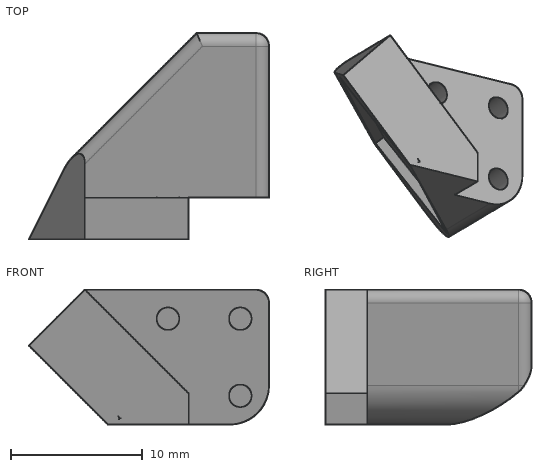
import cadquery as cq
import math

length = 18.25
depth = 15.68
height = 10.25

tip_height = 6.0
bevel_top_x = height - tip_height
edge_radius = 1.0
lower_corner_radius = 3.0

pad_thickness = 3.18
pad_right_x = 12.14
pad_corner_z = height - (pad_right_x - bevel_top_x)

hole_diameter = 1.72
hole_depth = 3.65
hole_left_x = 10.57
hole_right_x = 16.06
hole_upper_z = 8.05
hole_lower_z = 2.19
hole_centers = [
    (hole_left_x, hole_upper_z),
    (hole_right_x, hole_upper_z),
    (hole_right_x, hole_lower_z),
]

pocket_length = 14.73
pocket_width = 9.45
pocket_depth = 0.78
pocket_tilt = math.radians(2.8)
pocket_center_y = 7.55
pocket_center_z = 4.16
pocket_center_x = tip_height + pocket_center_y - pocket_center_z

slope_inward = cq.Vector(1, -1, 1).normalized()
slope_level = cq.Vector(1, 1, 0).normalized()
slope_rising = cq.Vector(-1, 1, 2).normalized()

cutter_size = 4 * length


def front_prism(points, start_y, end_y):
    """Extrude an XZ outline from start_y to end_y."""
    plane = cq.Plane(origin=(0, start_y, 0), xDir=(1, 0, 0), normal=(0, -1, 0))
    return cq.Workplane(plane).polyline(points).close().extrude(start_y - end_y)


def rounded_block():
    """Block with rounded top, back and right edges and a large lower right corner."""
    block = cq.Workplane("XY").box(2 * length, depth, height, centered=False)
    block = block.translate((-length, 0, 0))
    block = block.faces(">X").edges("<Z").fillet(lower_corner_radius)
    top_edges = block.faces(">Z").edges(">X or >Y")
    back_right_edge = block.faces(">X").edges(">Y")
    return top_edges.add(back_right_edge).fillet(edge_radius)


def sloping_wedge():
    """Oversized wedge between the sloping face and the top, with its sharp edge rounded."""
    wedge = cq.Workplane("XY").box(cutter_size, cutter_size, cutter_size)
    wedge = wedge.translate((0, 0, height - cutter_size / 2))
    slope = cq.Plane(origin=(0, 0, tip_height), xDir=slope_level, normal=-slope_inward)
    outside = cq.Workplane(slope).rect(2 * cutter_size, 2 * cutter_size).extrude(2 * cutter_size)
    wedge = wedge.cut(outside)
    sharp_edge = wedge.faces(">Z").edges(cq.selectors.ParallelDirSelector(slope_level))
    return sharp_edge.fillet(edge_radius)


def cut_upper_left_bevel(body):
    """Trim the upper left side at 45 degrees, from the tip to the top."""
    corner = [
        (bevel_top_x, height),
        (-length, height),
        (-length, tip_height - length),
    ]
    return body.cut(front_prism(corner, 0, depth))


def cut_front_step(body):
    """Set back the front face to the right of the pad."""
    step = [
        (bevel_top_x, height),
        (pad_right_x, pad_corner_z),
        (pad_right_x, 0),
        (length, 0),
        (length, height),
    ]
    return body.cut(front_prism(step, 0, pad_thickness))


def cut_holes(body):
    """Sink the round holes backward from the recessed front face."""
    plane = cq.Plane(origin=(0, pad_thickness, 0), xDir=(1, 0, 0), normal=(0, -1, 0))
    holes = cq.Workplane(plane).pushPoints(hole_centers).circle(hole_diameter / 2)
    return body.cut(holes.extrude(-hole_depth))


def cut_pocket(body):
    """Sink the slightly tilted rectangle square into the sloping face."""
    long_side = slope_level * math.cos(pocket_tilt) + slope_rising * math.sin(pocket_tilt)
    center = (pocket_center_x, pocket_center_y, pocket_center_z)
    plane = cq.Plane(origin=center, xDir=long_side, normal=slope_inward)
    pocket = cq.Workplane(plane).rect(pocket_length, pocket_width).extrude(pocket_depth)
    return body.cut(pocket)


body = rounded_block().intersect(sloping_wedge())
body = cut_upper_left_bevel(body)
body = cut_front_step(body)
body = cut_holes(body)
result = cut_pocket(body)